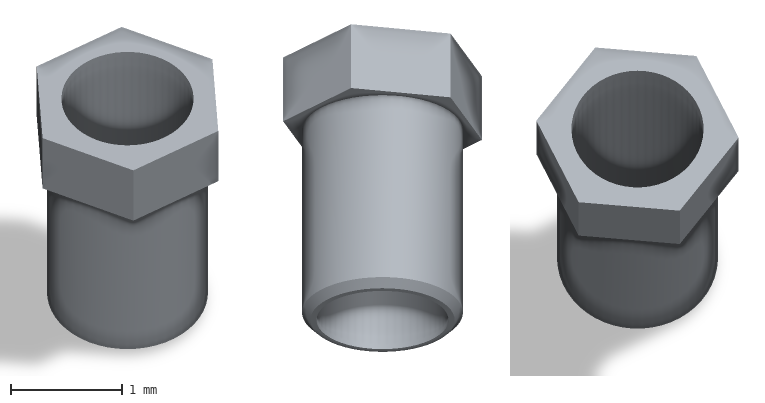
import cadquery as cq

total_length = 2.54
head_corner_diameter = 1.83
head_height = 0.64
head_sides = 6
shank_diameter = 1.45
bore_diameter = 1.19
tip_chamfer = 0.075

shank_length = total_length - head_height


def make_shank():
    """Round shank standing on Z = 0, chamfered around its lower end."""
    shank = cq.Workplane("XY").circle(shank_diameter / 2).extrude(shank_length)
    return shank.faces("<Z").edges().chamfer(tip_chamfer)


def make_head():
    """Hexagonal head on top of the shank, with two corners on the X axis."""
    head_base = cq.Workplane("XY").workplane(offset=shank_length)
    return head_base.polygon(head_sides, head_corner_diameter).extrude(head_height)


def make_bore():
    """Straight round bore through the full length."""
    return cq.Workplane("XY").circle(bore_diameter / 2).extrude(total_length)


result = make_shank().union(make_head()).cut(make_bore())